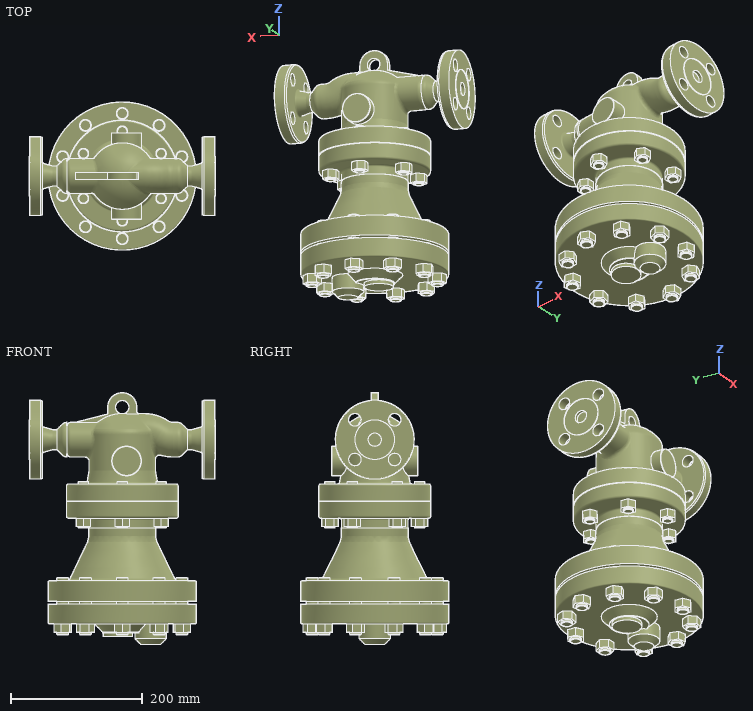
import cadquery as cq
import math


END_FACE_X = 141.5
RAISED_FACE_DIA = 60.0
RAISED_FACE_HEIGHT = 1.0
PIPE_FLANGE_DIA = 120.0
PIPE_FLANGE_BACK_X = 121.2
PIPE_FLANGE_BEVEL_LENGTH = 3.0
PIPE_FLANGE_BEVEL_DEPTH = 1.2
PIPE_HOLE_DIA = 19.0
PIPE_HOLE_CIRCLE_DIA = 85.0
PIPE_HOLE_COUNT = 4
BORE_DIA = 20.0
BORE_DEPTH = 6.0
HUB_RADIUS = 19.9
HUB_FILLET = 3.0
NECK_RADIUS = 15.3
NECK_OUTER_X = 105.2
NECK_INNER_X = 99.2
PIPE_DIA = 53.0
PIPE_RADIUS = PIPE_DIA / 2
REDUCER_ANGLE = 45.0
REDUCER_INNER_X = NECK_INNER_X - (PIPE_RADIUS - NECK_RADIUS) / math.tan(math.radians(REDUCER_ANGLE))
REDUCER_BLEND = 10.0
PIPE_END_X = REDUCER_INNER_X - REDUCER_BLEND * math.tan(math.radians(REDUCER_ANGLE / 2))
PIPE_FILLET = 6.0

ELBOW_START_X = 77.0
ELBOW_RADIUS = 40.0
ELBOW_ANGLE = 33.5

BODY_DIA = 100.95
BODY_RADIUS = BODY_DIA / 2
DOME_TOP_Z = 40.0
DOME_RADIUS = 59.0
KNUCKLE_RADIUS = 14.0
BODY_FLARE_Z = -47.3
BODY_FOOT_RADIUS = 54.0
BODY_FOOT_FILLET = 3.0

BOSS_DIA = 45.0
BOSS_X = 6.5
BOSS_Z = -32.3
BOSS_END_Y = 65.5
BOSS_CHAMFER = 0.6

LUG_THICKNESS = 11.0
LUG_RADIUS = 22.2
LUG_HOLE_DIA = 20.0
LUG_TOP_Z = 71.4
LUG_HOLE_Z = LUG_TOP_Z - LUG_RADIUS
LUG_BASE_Z = 20.0
LUG_TOE_FILLET = 4.0
RIB_END_X = -71.0
RIB_TOP_Z = 39.0

UPPER_FLANGE_DIA = 170.0
UPPER_FLANGE_TOP_Z = -66.9
UPPER_FLANGE_SPLIT_Z = -93.3
UPPER_FLANGE_BOTTOM_Z = -119.2
UPPER_FLANGE_FILLET = 3.5
SPLIT_GROOVE_HEIGHT = 0.6
SPLIT_GROOVE_DEPTH = 0.8

LOWER_NECK_DIA = 102.0
LOWER_NECK_RADIUS = LOWER_NECK_DIA / 2
UPPER_NECK_RADIUS = BODY_RADIUS
NECK_STEP_Z = -133.6
UPPER_NECK_FILLET = 3.0
CONE_TOP_Z = -151.3
CONE_BEND_Z = -193.9
CONE_BEND_RADIUS = 71.5
CONE_FOOT_RADIUS = 81.25
CONE_BLEND = 20.0
CONE_FOOT_FILLET = 6.5

LOWER_FLANGE_DIA = 225.0
LOWER_FLANGE_TOP_Z = -213.9
COVER_GAP_TOP_Z = -245.3
COVER_GAP_BOTTOM_Z = -249.4
COVER_BOTTOM_Z = -279.3
LOWER_FLANGE_FILLET = 2.0
GASKET_DIA = 162.5

BOTTOM_HUB_TOP_RADIUS = 42.5
BOTTOM_HUB_RADIUS = 30.0
BOTTOM_HUB_CONE_HEIGHT = 12.5
BOTTOM_HUB_HEIGHT = 13.5
PAD_DIA = 45.0
PAD_X = -6.7
PAD_BOTTOM_Z = -298.7
DRAIN_DIA = 48.0
DRAIN_X = 43.0
OVERALL_HEIGHT = 382.0
DRAIN_BOTTOM_Z = LUG_TOP_Z - OVERALL_HEIGHT
DRAIN_CHAMFER = 9.0

UPPER_STUD_DIA = 16.0
UPPER_BOLT_CIRCLE = 136.0
UPPER_BOLT_COUNT = 6
UPPER_NUT_WIDTH = 22.0
UPPER_NUT_HEIGHT = 12.7
UPPER_STUD_TOP_Z = -63.1
UPPER_STUD_BOTTOM_Z = -134.3
LOWER_STUD_DIA = 18.0
LOWER_BOLT_CIRCLE = 190.0
LOWER_BOLT_COUNT = 10
LOWER_NUT_WIDTH = 24.0
LOWER_NUT_HEIGHT = 13.0
LOWER_STUD_TOP_Z = -209.0
LOWER_STUD_BOTTOM_Z = -296.0
STUD_CHAMFER = 1.0

EDGE_TOLERANCE = 0.5


def disc(diameter, bottom_z, top_z):
    """Upright cylinder on the body axis."""
    return cq.Workplane("XY").workplane(offset=bottom_z).circle(diameter / 2).extrude(top_z - bottom_z)


def revolve_upright(profile):
    """Turn an XZ half profile about the body axis."""
    return profile.close().revolve(360, (0, 0, 0), (0, 1, 0))


def fillet_ring(shape, ring_radius, ring_z, fillet_radius):
    """Round the circular edge at the given height, leaving larger circles at that height alone."""
    reach = ring_radius + EDGE_TOLERANCE
    ring = cq.selectors.BoxSelector(
        (-reach, -reach, ring_z - EDGE_TOLERANCE),
        (reach, reach, ring_z + EDGE_TOLERANCE),
        boundingbox=True,
    )
    return shape.edges(ring).fillet(fillet_radius)


def fillet_pipe_joint(shape, low_x, high_x):
    """Round the corner between the body and a pipe, found between two X positions."""
    reach = PIPE_RADIUS + EDGE_TOLERANCE
    joint = cq.selectors.BoxSelector((low_x, -reach, -reach), (high_x, reach, reach), boundingbox=True)
    return shape.edges(joint).fillet(PIPE_FILLET)


def upper_body():
    """Cylinder with a flared foot and a torispherical dome."""
    crown_z = DOME_TOP_Z - DOME_RADIUS
    knuckle_x = BODY_RADIUS - KNUCKLE_RADIUS
    centre_distance = DOME_RADIUS - KNUCKLE_RADIUS
    knuckle_z = crown_z + math.sqrt(centre_distance**2 - knuckle_x**2)
    tangent_angle = math.acos(knuckle_x / centre_distance)

    def on_arc(centre_x, centre_z, radius, angle):
        return (centre_x + radius * math.cos(angle), centre_z + radius * math.sin(angle))

    profile = (
        cq.Workplane("XZ")
        .moveTo(0, UPPER_FLANGE_TOP_Z)
        .lineTo(BODY_FOOT_RADIUS, UPPER_FLANGE_TOP_Z)
        .lineTo(BODY_RADIUS, BODY_FLARE_Z)
        .lineTo(BODY_RADIUS, knuckle_z)
        .threePointArc(
            on_arc(knuckle_x, knuckle_z, KNUCKLE_RADIUS, tangent_angle / 2),
            on_arc(knuckle_x, knuckle_z, KNUCKLE_RADIUS, tangent_angle),
        )
        .threePointArc(
            on_arc(0, crown_z, DOME_RADIUS, (tangent_angle + math.pi / 2) / 2),
            (0, DOME_TOP_Z),
        )
    )
    return revolve_upright(profile)


def inlet_pipe():
    """Straight pipe on the -X side."""
    return cq.Workplane("YZ").circle(PIPE_RADIUS).extrude(-PIPE_END_X)


def outlet_pipe():
    """Pipe on the +X side that rises through an S-bend into the dome."""
    angle = math.radians(ELBOW_ANGLE)
    bend_run = ELBOW_RADIUS * math.sin(angle)
    bend_rise = ELBOW_RADIUS * (1 - math.cos(angle))
    middle = (ELBOW_START_X - bend_run, bend_rise)
    end = (ELBOW_START_X - 2 * bend_run, 2 * bend_rise)
    half_run = ELBOW_RADIUS * math.sin(angle / 2)
    half_rise = ELBOW_RADIUS * (1 - math.cos(angle / 2))
    path = (
        cq.Workplane("XZ")
        .moveTo(PIPE_END_X, 0)
        .lineTo(ELBOW_START_X, 0)
        .threePointArc((ELBOW_START_X - half_run, half_rise), middle)
        .threePointArc((end[0] + half_run, end[1] - half_rise), end)
        .lineTo(0, end[1])
    )
    return cq.Workplane("YZ").workplane(offset=PIPE_END_X).circle(PIPE_RADIUS).sweep(path)


def pipe_end():
    """Reducer, welding neck and bolted flange: built upright, then laid along +X."""
    flange_radius = PIPE_FLANGE_DIA / 2
    flange_face = END_FACE_X - RAISED_FACE_HEIGHT
    blend_angle = math.radians(REDUCER_ANGLE)

    def blend_point(angle):
        centre_radius = PIPE_RADIUS - REDUCER_BLEND
        return (centre_radius + REDUCER_BLEND * math.cos(angle), PIPE_END_X + REDUCER_BLEND * math.sin(angle))

    end = revolve_upright(
        cq.Workplane("XZ")
        .moveTo(0, PIPE_END_X)
        .lineTo(PIPE_RADIUS, PIPE_END_X)
        .threePointArc(blend_point(blend_angle / 2), blend_point(blend_angle))
        .lineTo(NECK_RADIUS, NECK_INNER_X)
        .lineTo(NECK_RADIUS, NECK_OUTER_X)
        .lineTo(HUB_RADIUS, PIPE_FLANGE_BACK_X)
        .lineTo(flange_radius - PIPE_FLANGE_BEVEL_DEPTH, PIPE_FLANGE_BACK_X)
        .lineTo(flange_radius, PIPE_FLANGE_BACK_X + PIPE_FLANGE_BEVEL_LENGTH)
        .lineTo(flange_radius, flange_face)
        .lineTo(RAISED_FACE_DIA / 2, flange_face)
        .lineTo(RAISED_FACE_DIA / 2, END_FACE_X)
        .lineTo(0, END_FACE_X)
    )
    end = fillet_ring(end, HUB_RADIUS, PIPE_FLANGE_BACK_X, HUB_FILLET)
    bolt_holes = (
        cq.Workplane("XY")
        .workplane(offset=PIPE_FLANGE_BACK_X)
        .polarArray(PIPE_HOLE_CIRCLE_DIA / 2, 180 / PIPE_HOLE_COUNT, 360, PIPE_HOLE_COUNT)
        .circle(PIPE_HOLE_DIA / 2)
        .extrude(END_FACE_X - PIPE_FLANGE_BACK_X)
    )
    bore = disc(BORE_DIA, END_FACE_X - BORE_DEPTH, END_FACE_X)
    return end.cut(bolt_holes).cut(bore).rotate((0, 0, 0), (0, 1, 0), 90)


def side_bosses():
    """Round boss through the upper body, showing on both the -Y and +Y sides."""
    return (
        cq.Workplane("XZ")
        .center(BOSS_X, BOSS_Z)
        .circle(BOSS_DIA / 2)
        .extrude(BOSS_END_Y, both=True)
        .faces("<Y or >Y")
        .chamfer(BOSS_CHAMFER)
    )


def lifting_lug():
    """Eye plate on top of the dome, with a sloping rib down to the inlet pipe."""
    toe_x = LUG_RADIUS + LUG_TOE_FILLET
    toe_z = DOME_TOP_Z - LUG_TOE_FILLET
    plate = (
        cq.Workplane("XZ")
        .moveTo(RIB_END_X, LUG_BASE_Z)
        .lineTo(RIB_END_X, PIPE_RADIUS)
        .lineTo(-LUG_RADIUS, RIB_TOP_Z)
        .lineTo(-LUG_RADIUS, LUG_HOLE_Z)
        .threePointArc((0, LUG_TOP_Z), (LUG_RADIUS, LUG_HOLE_Z))
        .lineTo(LUG_RADIUS, DOME_TOP_Z + LUG_TOE_FILLET / 2)
        .lineTo(toe_x, toe_z + LUG_TOE_FILLET / 2)
        .lineTo(toe_x, LUG_BASE_Z)
        .close()
        .extrude(LUG_THICKNESS / 2, both=True)
    )
    hole = cq.Workplane("XZ").center(0, LUG_HOLE_Z).circle(LUG_HOLE_DIA / 2).extrude(LUG_THICKNESS, both=True)
    return plate.cut(hole)


def upper_flanges():
    """Two flanges bolted face to face, marked by a fine groove at the joint."""
    pair = disc(UPPER_FLANGE_DIA, UPPER_FLANGE_BOTTOM_Z, UPPER_FLANGE_TOP_Z)
    pair = pair.edges().fillet(UPPER_FLANGE_FILLET)
    groove_z = UPPER_FLANGE_SPLIT_Z - SPLIT_GROOVE_HEIGHT / 2
    groove = disc(UPPER_FLANGE_DIA, groove_z, groove_z + SPLIT_GROOVE_HEIGHT).cut(
        disc(UPPER_FLANGE_DIA - 2 * SPLIT_GROOVE_DEPTH, groove_z, groove_z + SPLIT_GROOVE_HEIGHT)
    )
    return pair.cut(groove)


def lower_body():
    """Neck that widens through a cone to the lower flange."""
    profile = (
        cq.Workplane("XZ")
        .moveTo(0, LOWER_FLANGE_TOP_Z)
        .lineTo(CONE_FOOT_RADIUS, LOWER_FLANGE_TOP_Z)
        .lineTo(CONE_BEND_RADIUS, CONE_BEND_Z)
        .lineTo(LOWER_NECK_RADIUS, CONE_TOP_Z)
        .lineTo(LOWER_NECK_RADIUS, NECK_STEP_Z)
        .lineTo(UPPER_NECK_RADIUS, NECK_STEP_Z)
        .lineTo(UPPER_NECK_RADIUS, UPPER_FLANGE_BOTTOM_Z)
        .lineTo(0, UPPER_FLANGE_BOTTOM_Z)
    )
    return fillet_ring(revolve_upright(profile), LOWER_NECK_RADIUS, CONE_TOP_Z, CONE_BLEND)


def lower_flanges():
    """Body flange, gasket and cover flange."""
    body_flange = disc(LOWER_FLANGE_DIA, COVER_GAP_TOP_Z, LOWER_FLANGE_TOP_Z)
    cover = disc(LOWER_FLANGE_DIA, COVER_BOTTOM_Z, COVER_GAP_BOTTOM_Z).edges("<Z").fillet(LOWER_FLANGE_FILLET)
    gasket = disc(GASKET_DIA, COVER_GAP_BOTTOM_Z, COVER_GAP_TOP_Z)
    return body_flange.edges(">Z").fillet(LOWER_FLANGE_FILLET).union(gasket).union(cover)


def cover_underside():
    """Tapered hub with a round pad, and the drain boss beside it."""
    cone_z = COVER_BOTTOM_Z - BOTTOM_HUB_CONE_HEIGHT
    hub_z = COVER_BOTTOM_Z - BOTTOM_HUB_HEIGHT
    hub = revolve_upright(
        cq.Workplane("XZ")
        .moveTo(0, COVER_BOTTOM_Z)
        .lineTo(BOTTOM_HUB_TOP_RADIUS, COVER_BOTTOM_Z)
        .lineTo(BOTTOM_HUB_RADIUS, cone_z)
        .lineTo(BOTTOM_HUB_RADIUS, hub_z)
        .lineTo(0, hub_z)
    )
    pad = disc(PAD_DIA, PAD_BOTTOM_Z, COVER_BOTTOM_Z).translate((PAD_X, 0, 0))
    drain = disc(DRAIN_DIA, DRAIN_BOTTOM_Z, COVER_BOTTOM_Z).edges("<Z").chamfer(DRAIN_CHAMFER)
    return hub.union(pad).union(drain.translate((DRAIN_X, 0, 0)))


def bolting(stud_dia, circle_dia, count, nut_width, nut_height, nut_top_z, stud_top_z, stud_bottom_z):
    """Ring of studs with hexagon nuts below; the first stud lies on +Y."""
    corner_radius = nut_width / math.sqrt(3)
    stud = disc(stud_dia, stud_bottom_z, stud_top_z).faces("<Z or >Z").chamfer(STUD_CHAMFER)
    nut = cq.Workplane("XY").workplane(offset=nut_top_z).polygon(6, 2 * corner_radius).extrude(-nut_height)
    bolt = stud.union(nut).translate((circle_dia / 2, 0, 0))
    return [bolt.rotate((0, 0, 0), (0, 0, 1), 90 + index * 360 / count) for index in range(count)]


upper = upper_body().union(inlet_pipe())
upper = fillet_pipe_joint(upper, -BODY_DIA, -PIPE_RADIUS)
upper = upper.union(outlet_pipe())
upper = fillet_pipe_joint(upper, PIPE_RADIUS, ELBOW_START_X - PIPE_RADIUS / 2)
upper = fillet_ring(upper.union(upper_flanges()), BODY_FOOT_RADIUS, UPPER_FLANGE_TOP_Z, BODY_FOOT_FILLET)

lower = fillet_ring(
    lower_body().union(lower_flanges()), CONE_FOOT_RADIUS, LOWER_FLANGE_TOP_Z, CONE_FOOT_FILLET
)

outlet_end = pipe_end()
inlet_end = outlet_end.mirror("YZ")
upper_bolting = bolting(
    UPPER_STUD_DIA,
    UPPER_BOLT_CIRCLE,
    UPPER_BOLT_COUNT,
    UPPER_NUT_WIDTH,
    UPPER_NUT_HEIGHT,
    UPPER_FLANGE_BOTTOM_Z,
    UPPER_STUD_TOP_Z,
    UPPER_STUD_BOTTOM_Z,
)
lower_bolting = bolting(
    LOWER_STUD_DIA,
    LOWER_BOLT_CIRCLE,
    LOWER_BOLT_COUNT,
    LOWER_NUT_WIDTH,
    LOWER_NUT_HEIGHT,
    COVER_BOTTOM_Z,
    LOWER_STUD_TOP_Z,
    LOWER_STUD_BOTTOM_Z,
)

result = fillet_ring(
    upper.union(lower), UPPER_NECK_RADIUS, UPPER_FLANGE_BOTTOM_Z, UPPER_NECK_FILLET
)
fittings = [outlet_end, inlet_end, side_bosses(), lifting_lug(), cover_underside()]
for fitting in fittings + upper_bolting + lower_bolting:
    result = result.union(fitting)